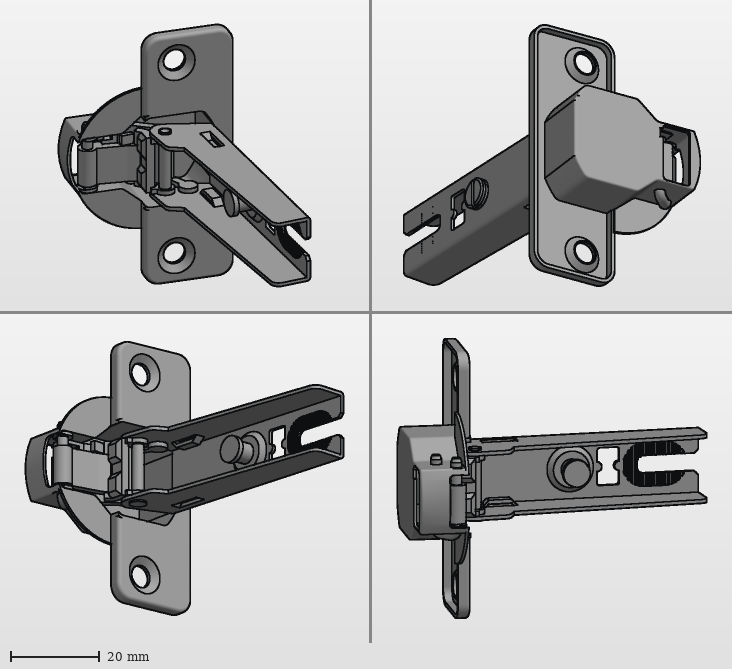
import cadquery as cq
import math

TILT = 7.7

CUP_RADIUS = 17.4
CUP_DEPTH = 11.15
CUP_WALL = 0.7
CUP_TOP = 15.9
CUP_HALF_HEIGHT = 11.8
NECK_HALF_HEIGHT = 7.5
SHOULDER_START = -0.85
SHOULDER_END = -6.0
SHOULDER_RADIUS = 2.0
SIDE_CORNER_RADIUS = 2.0
END_CORNER_RADIUS = 0.6
CUP_EDGE = 0.5
LIP_THICKNESS = 0.7
LIP_TOP = -0.9
NOTCH_HALF_HEIGHT = 6.1
NOTCH_START = -4.4
NOTCH_CORNER = 1.0
NOTCH_REACH = 3.0

WINDOW_NEAR = -7.4
WINDOW_FAR = -14.5
WINDOW_HALF_HEIGHT = 7.0
WINDOW_CORNER = 1.0
WINDOW_SIDE_SLOT = (0.8, 2.2)
WINDOW_SIDE_SLOT_Z = 4.8

FLANGE_LENGTH = 61.5
FLANGE_TOP = 19.9
FLANGE_BOTTOM = -1.3
FLANGE_DEPTH = 2.85
FLANGE_SHEET = 0.9
FLANGE_CORNER = 3.7
SCREW_HOLE_SPACING = 48.0
SCREW_HOLE_Y = 6.2
SCREW_HOLE_RADIUS = 2.6
SCREW_CONE_RADIUS = 4.4
SCREW_CONE_TIP = 2.9
SCREW_CONE_HEIGHT = 1.4

STAPLE_INNER = (-6.4, -9.3)
STAPLE_OUTER = (-2.4, -13.3)
STAPLE_RADIUS = 1.25
STAPLE_TIP = 9.5
STAPLE_TIP_BEVEL = (0.9, 0.4)
STAPLE_BASE = -8.4
STAPLE_BEND = 1.6
STAPLE_COLLAR_RADIUS = 2.3
STAPLE_COLLAR_INNER = 5.95

ARM_END = 60.27
ARM_HALF_HEIGHT = 7.9
ARM_SHEET = 0.9
ARM_BEND = 0.9
BACK_START = (5.3, 14.35)
BACK_SLOPE = 3.0
SIDE_EDGE = 2.43
SIDE_END_RADIUS = 2.0
HEEL_EDGE = -0.9
HEEL_STEP = (12.3, 14.2)
HEEL_RADIUS = 2.0
NOSE_CENTRE = (4.4, 3.1)

SLOT_HALF = 2.05
SLOT_START = 46.0
SLOT_CORNER = 1.7
SLOT_FLARE = 0.9
SERRATION_START = 42.7
SERRATION_END = 57.6
SERRATION_HALF = 5.05
SERRATION_DEPTH = 0.6
SERRATION_PITCH = 0.85
SERRATION_GROOVE = 0.45
KEYHOLE_START = 36.75
KEYHOLE_END = 41.9
KEYHOLE_HALF = 4.35
KEYHOLE_CORNER = 0.6
KEYHOLE_LUG_RADIUS = 1.1
BRIDGE_START = 8.9
BRIDGE_END = 17.1
BRIDGE_TOP = 11.3
BRIDGE_BOTTOM = 8.9
BRIDGE_RISE = 1.5
BRIDGE_RAMP = 1.5

SCREW_X = 30.5
COLLAR_RADIUS = 5.4
COLLAR_TOP_RADIUS = 4.2
COLLAR_HEIGHT = 1.2
SCREW_STEM = 2.4
SCREW_DISC_RADIUS = 3.1
SCREW_DISC_THICKNESS = 1.2
SCREW_REACH = 7.2
SCREW_HEAD = 2.1
SCREW_THREAD = 3.55
SCREW_THREAD_ROOT = 3.0
SCREW_THREADS = 3
SCREW_SLOT = (0.8, 1.0)

PIN = (4.9, 2.25)
PIN_RADIUS = 1.4
PIN_TIP = 8.3
PIN_HEAD_RADIUS = 2.0
PIN_RECESS_RADIUS = 1.15
PIN_RECESS_TIP = 0.3
PIN_RECESS_DEPTH = 1.0

LINK_SHEET = 2.0
LINK_HALF_HEIGHT = 6.8
EAR_THICKNESS = 1.15
EAR_RADIUS = 2.2
KNUCKLE_RADIUS = 2.2
KNUCKLE_TOP = 3.5
KNUCKLE_BOTTOM = -5.4
PAD_Z = 4.0
PAD_HALF = 1.6
PAD_SLOPE = 1.2
PAD_HEIGHT = 0.8
KNUCKLE_FLAT_BELOW = 0.3
KNUCKLE_FLAT_ABOVE = 3.8
FOOT_FRONT = 3.1
FOOT_BACK = 1.6
FOOT_BELOW = 1.55
FOOT_ABOVE = 4.0
FOOT_BEVEL = 0.85
FOOT_OPENING_ABOVE = 2.7
FOOT_OPENING_Z = (3.5, 5.9)
STEM = [(-1.9, -4.0), (-0.5, -0.8)]
CROSSPIECE = [(-1.6, -1.9), (0.1, -0.5), (3.9, -0.9)]
INNER_BEND = (-4.5, -1.0)
INNER_ROOT = (1.5, 5.8)
INNER_PIVOT = (6.2, 7.4)

LEAF_CORNER = (-2.1, -5.8, 3.8)
LEAF_SIZE = (1.2, 3.0, 2.4)


def turned(body):
    """Turn a body from the upright cup frame to its place."""
    return body.rotate((0, 0, 0), (0, 0, 1), -TILT)


def turned_point(point):
    angle = math.radians(-TILT)
    x, y = point
    return (
        x * math.cos(angle) - y * math.sin(angle),
        x * math.sin(angle) + y * math.cos(angle),
    )


def box(x0, x1, y0, y1, z0, z1):
    return cq.Workplane("XY").box(x1 - x0, y1 - y0, z1 - z0, centered=False).translate((x0, y0, z0))


def disc(centre, radius, z0, z1):
    return cq.Workplane("XY").workplane(offset=z0).center(*centre).circle(radius).extrude(z1 - z0)


def make_staple():
    inner_x, inner_y = STAPLE_INNER
    outer_x, outer_y = STAPLE_OUTER
    span = math.hypot(outer_x - inner_x, outer_y - inner_y)
    path = (
        cq.Workplane("XZ")
        .moveTo(0, STAPLE_TIP)
        .lineTo(0, STAPLE_BASE + STAPLE_BEND)
        .radiusArc((STAPLE_BEND, STAPLE_BASE), -STAPLE_BEND)
        .lineTo(span - STAPLE_BEND, STAPLE_BASE)
        .radiusArc((span, STAPLE_BASE + STAPLE_BEND), -STAPLE_BEND)
        .lineTo(span, STAPLE_TIP)
    )
    wire = cq.Workplane("XY").workplane(offset=STAPLE_TIP).circle(STAPLE_RADIUS).sweep(path)
    wire = wire.faces(">Z").chamfer(*STAPLE_TIP_BEVEL)
    heading = math.degrees(math.atan2(outer_y - inner_y, outer_x - inner_x))
    wire = wire.rotate((0, 0, 0), (0, 0, 1), heading)
    return turned(wire.translate((inner_x, inner_y, 0)))


def cup_prism(inset, start, end):
    """The cup's outline, moved inwards by inset, between two depths along X."""
    upper = [
        (CUP_TOP, CUP_HALF_HEIGHT),
        (SHOULDER_START, CUP_HALF_HEIGHT),
        (SHOULDER_END, NECK_HALF_HEIGHT),
        (-CUP_RADIUS - 1, NECK_HALF_HEIGHT),
    ]
    lower = [(y, -z) for y, z in reversed(upper)]
    sides = cq.Workplane("YZ").workplane(offset=start).polyline(upper + lower).close()
    if inset:
        sides = sides.offset2D(-inset, "intersection")
    prism = sides.extrude(end - start)
    for side in (1, -1):
        for y in (SHOULDER_START, SHOULDER_END):
            z = CUP_HALF_HEIGHT if y == SHOULDER_START else NECK_HALF_HEIGHT
            corner = cq.selectors.NearestToPointSelector(((start + end) / 2, y, side * (z - inset)))
            prism = prism.edges("|X").edges(corner).fillet(SHOULDER_RADIUS)
    round_side = cq.Workplane("YZ").workplane(offset=start).circle(CUP_RADIUS - inset).extrude(end - start)
    prism = prism.intersect(round_side)
    middle = (start + end) / 2
    radius = CUP_RADIUS - inset
    rounded_corners = [
        (CUP_HALF_HEIGHT - inset, 1, SIDE_CORNER_RADIUS),
        (NECK_HALF_HEIGHT - inset, -1, END_CORNER_RADIUS),
    ]
    for z, direction, corner_radius in rounded_corners:
        y = direction * math.sqrt(radius**2 - z**2)
        for side in (1, -1):
            corner = cq.selectors.NearestToPointSelector((middle, y, side * z))
            prism = prism.edges("|X").edges(corner).fillet(corner_radius)
    return prism


def make_flange():
    middle = (FLANGE_TOP + FLANGE_BOTTOM) / 2
    width = FLANGE_TOP - FLANGE_BOTTOM
    flange = (
        cq.Workplane("YZ")
        .center(middle, 0)
        .rect(width, FLANGE_LENGTH)
        .extrude(FLANGE_DEPTH)
        .edges("|X")
        .fillet(FLANGE_CORNER)
        .faces(">X")
        .edges()
        .fillet(FLANGE_SHEET)
    )
    tray = (
        cq.Workplane("YZ")
        .center(middle, 0)
        .rect(width - 2 * FLANGE_SHEET, FLANGE_LENGTH - 2 * FLANGE_SHEET)
        .extrude(FLANGE_DEPTH - FLANGE_SHEET)
        .edges("|X")
        .fillet(FLANGE_CORNER - FLANGE_SHEET)
    )
    return flange.cut(tray)


def screw_cone(z, start, base_radius, tip_radius):
    """Cone that narrows from the flange towards the cup floor."""
    return (
        cq.Workplane("YZ")
        .workplane(offset=start)
        .center(SCREW_HOLE_Y, z)
        .circle(base_radius)
        .workplane(offset=-SCREW_CONE_HEIGHT)
        .circle(tip_radius)
        .loft()
    )


def with_screw_seat(cup, z):
    """Press a countersunk screw seat into the flange and pierce it."""
    seat = screw_cone(z, FLANGE_DEPTH - FLANGE_SHEET, SCREW_CONE_RADIUS, SCREW_CONE_TIP)
    recess = screw_cone(z, FLANGE_DEPTH, SCREW_CONE_RADIUS, SCREW_HOLE_RADIUS)
    hole = cq.Workplane("YZ").center(SCREW_HOLE_Y, z).circle(SCREW_HOLE_RADIUS).extrude(FLANGE_DEPTH)
    return cup.union(seat).cut(recess).cut(hole)


def make_cup(staple):
    body = cup_prism(0, -CUP_DEPTH, 0).faces("<X").edges().fillet(CUP_EDGE)
    collar = cup_prism(0, 0, FLANGE_DEPTH).intersect(
        box(0, FLANGE_DEPTH, FLANGE_BOTTOM, FLANGE_TOP, -CUP_RADIUS, CUP_RADIUS)
    )
    lip = cq.Workplane("YZ").workplane(offset=-LIP_THICKNESS).circle(CUP_RADIUS).extrude(LIP_THICKNESS)
    lip = lip.intersect(box(-LIP_THICKNESS, 0, -CUP_RADIUS, LIP_TOP, -CUP_RADIUS, CUP_RADIUS))
    cup = body.union(lip).union(make_flange()).union(collar)
    cup = cup.cut(cup_prism(CUP_WALL, -CUP_DEPTH + CUP_WALL, FLANGE_DEPTH))

    end_notch = (
        box(
            NOTCH_START,
            FLANGE_DEPTH,
            -CUP_RADIUS - NOTCH_REACH,
            -CUP_RADIUS + NOTCH_REACH,
            -NOTCH_HALF_HEIGHT,
            NOTCH_HALF_HEIGHT,
        )
        .edges("|Y and <X")
        .fillet(NOTCH_CORNER)
    )
    floor_outside = -CUP_DEPTH - 1
    floor_inside = -CUP_DEPTH + CUP_WALL
    window = (
        box(floor_outside, floor_inside, WINDOW_FAR, WINDOW_NEAR, -WINDOW_HALF_HEIGHT, WINDOW_HALF_HEIGHT)
        .edges("|X")
        .fillet(WINDOW_CORNER)
    )
    slot_width, slot_height = WINDOW_SIDE_SLOT
    side_slot = box(
        floor_outside,
        floor_inside,
        WINDOW_NEAR - slot_width,
        WINDOW_NEAR + slot_width,
        WINDOW_SIDE_SLOT_Z - slot_height / 2,
        WINDOW_SIDE_SLOT_Z + slot_height / 2,
    )
    for z0, z1 in ((STAPLE_COLLAR_INNER, NECK_HALF_HEIGHT), (-NECK_HALF_HEIGHT, -STAPLE_COLLAR_INNER)):
        cup = cup.union(disc(STAPLE_OUTER, STAPLE_COLLAR_RADIUS, z0, z1))
    cup = cup.cut(end_notch).cut(window).cut(side_slot)
    for z in (-SCREW_HOLE_SPACING / 2, SCREW_HOLE_SPACING / 2):
        cup = with_screw_seat(cup, z)
    return turned(cup).cut(staple)


def back_y(x):
    """Height of the arm's sloping back."""
    start_x, start_y = BACK_START
    return start_y - (x - start_x) * math.tan(math.radians(BACK_SLOPE))


def on_back(body):
    """Move a body modelled about the Y axis onto the back at the adjusting screw."""
    tilted = body.rotate((0, 0, 0), (0, 0, 1), -BACK_SLOPE)
    return tilted.translate((SCREW_X, back_y(SCREW_X), 0))


def make_channel():
    nose_x, nose_y = NOSE_CENTRE
    nose_radius = nose_y - HEEL_EDGE
    heel_end, side_start = HEEL_STEP
    solid = (
        cq.Workplane("XY")
        .workplane(offset=-ARM_HALF_HEIGHT)
        .moveTo(*BACK_START)
        .lineTo(ARM_END, back_y(ARM_END))
        .lineTo(ARM_END, SIDE_EDGE)
        .lineTo(side_start, SIDE_EDGE)
        .lineTo(heel_end, HEEL_EDGE)
        .lineTo(nose_x, HEEL_EDGE)
        .radiusArc((nose_x - nose_radius, nose_y), nose_radius)
        .close()
        .extrude(2 * ARM_HALF_HEIGHT)
    )
    solid = solid.edges(cq.selectors.NearestToPointSelector((ARM_END, SIDE_EDGE, 0))).fillet(SIDE_END_RADIUS)
    heel_corner = cq.selectors.NearestToPointSelector((heel_end, HEEL_EDGE, 0))
    solid = solid.edges(heel_corner).fillet(HEEL_RADIUS)
    back_middle = (BACK_START[0] + ARM_END) / 2
    for z in (-ARM_HALF_HEIGHT, ARM_HALF_HEIGHT):
        bend = cq.selectors.NearestToPointSelector((back_middle, back_y(back_middle), z))
        solid = solid.edges(bend).fillet(ARM_BEND)
    inside = ARM_HALF_HEIGHT - ARM_SHEET
    drop = ARM_SHEET / math.cos(math.radians(BACK_SLOPE))
    hollow = (
        cq.Workplane("XY")
        .workplane(offset=-inside)
        .moveTo(-ARM_END, back_y(-ARM_END) - drop)
        .lineTo(2 * ARM_END, back_y(2 * ARM_END) - drop)
        .lineTo(2 * ARM_END, -ARM_END)
        .lineTo(-ARM_END, -ARM_END)
        .close()
        .extrude(2 * inside)
    )
    return solid.cut(hollow)


def back_opening(outline):
    """Extrude an outline drawn in X and Z right through the back."""
    return outline.extrude(-2 * BACK_START[1])


def end_slot():
    cut_end = ARM_END + SLOT_FLARE
    slot = cq.Workplane("XZ").center((SLOT_START + cut_end) / 2, 0).rect(cut_end - SLOT_START, 2 * SLOT_HALF)
    slot = back_opening(slot).edges("|Y and <X").fillet(SLOT_CORNER)
    flare = cq.Workplane("XZ").polyline(
        [
            (ARM_END - SLOT_FLARE, SLOT_HALF),
            (cut_end, SLOT_HALF + 2 * SLOT_FLARE),
            (cut_end, -SLOT_HALF - 2 * SLOT_FLARE),
            (ARM_END - SLOT_FLARE, -SLOT_HALF),
        ]
    ).close()
    return slot.union(back_opening(flare))


def keyhole():
    length = KEYHOLE_END - KEYHOLE_START
    hole = cq.Workplane("XZ").center(KEYHOLE_START + length / 2, 0).rect(length, 2 * KEYHOLE_HALF)
    hole = back_opening(hole).edges("|Y").fillet(KEYHOLE_CORNER)
    for x in (KEYHOLE_START, KEYHOLE_END):
        hole = hole.cut(back_opening(cq.Workplane("XZ").center(x, 0).circle(KEYHOLE_LUG_RADIUS)))
    return hole


def serrations():
    """Grooves across the inner face of the back, bounded by a round-ended outline."""
    length = SERRATION_END - SERRATION_START
    outline = cq.Workplane("XZ").center(SERRATION_START + length / 2, 0).slot2D(length, 2 * SERRATION_HALF)
    bound = back_opening(outline)
    count = int(length / SERRATION_PITCH)
    grooves = cq.Workplane("XY")
    for index in range(count):
        x = SERRATION_START + (index + 0.5) * SERRATION_PITCH
        face = back_y(x) - ARM_SHEET
        grooves = grooves.add(
            box(
                x - SERRATION_GROOVE / 2,
                x + SERRATION_GROOVE / 2,
                face - ARM_SHEET,
                face + SERRATION_DEPTH,
                -SERRATION_HALF,
                SERRATION_HALF,
            )
        )
    return grooves.combine().intersect(bound)


def along_back(body):
    """Turn a bridge or its slot about their middle, parallel to the back."""
    middle = ((BRIDGE_START + BRIDGE_END) / 2, (BRIDGE_BOTTOM + BRIDGE_TOP) / 2)
    return body.rotate((*middle, 0), (*middle, 1), -BACK_SLOPE)


def bridge_slot():
    reach = ARM_HALF_HEIGHT + 1
    return along_back(box(BRIDGE_START, BRIDGE_END, BRIDGE_BOTTOM, BRIDGE_TOP, -reach, reach))


def bridge(side):
    """Strip of the side wall pressed inwards between two cuts."""
    outer = ARM_HALF_HEIGHT
    inner = outer - ARM_SHEET
    ramp_in = BRIDGE_START + BRIDGE_RAMP
    ramp_out = BRIDGE_END - BRIDGE_RAMP
    outline = [
        (BRIDGE_START, outer),
        (ramp_in, outer - BRIDGE_RISE),
        (ramp_out, outer - BRIDGE_RISE),
        (BRIDGE_END, outer),
        (BRIDGE_END, inner),
        (ramp_out, inner - BRIDGE_RISE),
        (ramp_in, inner - BRIDGE_RISE),
        (BRIDGE_START, inner),
    ]
    points = [(x, side * z) for x, z in outline]
    profile = cq.Workplane("XZ").workplane(offset=-BRIDGE_TOP).polyline(points).close()
    return along_back(profile.extrude(BRIDGE_TOP - BRIDGE_BOTTOM))


def make_arm():
    collar = (
        cq.Workplane("XZ")
        .workplane(offset=ARM_SHEET)
        .circle(COLLAR_RADIUS)
        .workplane(offset=COLLAR_HEIGHT)
        .circle(COLLAR_TOP_RADIUS)
        .loft()
    )
    stem_hole = cq.Workplane("XZ").circle(SCREW_STEM).extrude(SCREW_REACH, both=True)
    arm = make_channel().cut(end_slot()).cut(keyhole()).cut(serrations()).cut(bridge_slot())
    arm = arm.union(bridge(1)).union(bridge(-1))
    arm = arm.union(on_back(collar)).cut(on_back(stem_hole))
    return arm.cut(disc(PIN, PIN_RADIUS, -ARM_HALF_HEIGHT, ARM_HALF_HEIGHT))


def make_screw():
    stem = cq.Workplane("XZ").circle(SCREW_STEM).extrude(SCREW_REACH)
    face = (
        cq.Workplane("XZ")
        .workplane(offset=SCREW_REACH - SCREW_DISC_THICKNESS)
        .circle(SCREW_DISC_RADIUS)
        .extrude(SCREW_DISC_THICKNESS)
    )
    pitch = SCREW_HEAD / SCREW_THREADS
    head = cq.Workplane("XY").moveTo(0, 0).lineTo(SCREW_THREAD_ROOT, 0)
    for index in range(SCREW_THREADS):
        head = head.lineTo(SCREW_THREAD, (index + 0.5) * pitch)
        head = head.lineTo(SCREW_THREAD_ROOT, (index + 1) * pitch)
    head = head.lineTo(0, SCREW_HEAD).close().revolve(360, (0, 0, 0), (0, 1, 0))
    width, depth = SCREW_SLOT
    slot = box(-width / 2, width / 2, SCREW_HEAD - depth, SCREW_HEAD, -SCREW_THREAD, SCREW_THREAD)
    return on_back(stem.union(face).union(head).cut(slot))


def make_arm_pin():
    pin = disc(PIN, PIN_RADIUS, -ARM_HALF_HEIGHT, PIN_TIP)
    pin = pin.union(disc(PIN, PIN_HEAD_RADIUS, -PIN_TIP, -ARM_HALF_HEIGHT))
    recess = cq.Workplane("XY").workplane(offset=PIN_TIP).center(*PIN).circle(PIN_RECESS_RADIUS)
    return pin.cut(recess.workplane(offset=-PIN_RECESS_DEPTH).circle(PIN_RECESS_TIP).loft())


def strip(points, thickness, z0, z1):
    """Bent strip of constant thickness along a line of points, rounded at its bends."""
    bar = None
    for start, end in zip(points, points[1:]):
        length = math.dist(start, end)
        heading = math.degrees(math.atan2(end[1] - start[1], end[0] - start[0]))
        leg = box(0, length, -thickness / 2, thickness / 2, z0, z1).rotate((0, 0, 0), (0, 0, 1), heading)
        leg = leg.translate((*start, 0))
        bar = leg if bar is None else bar.union(leg).union(disc(start, thickness / 2, z0, z1))
    return bar


def ears(centre, root):
    """Two ears at the sides of a link, each a rounded bar from root to centre."""
    inner = LINK_HALF_HEIGHT - EAR_THICKNESS
    pair = None
    for z in (inner, -LINK_HALF_HEIGHT):
        bar = strip([root, centre], LINK_SHEET, z, z + EAR_THICKNESS)
        bar = bar.union(disc(centre, EAR_RADIUS, z, z + EAR_THICKNESS))
        pair = bar if pair is None else pair.union(bar)
    return pair


def pads():
    """Two raised pads with sloping sides on the outer link's crosspiece."""
    start, end = CROSSPIECE[1:]
    length = math.dist(start, end)
    heading = math.degrees(math.atan2(end[1] - start[1], end[0] - start[0]))
    pair = None
    for z in (-PAD_Z, PAD_Z):
        pad = (
            cq.Workplane("XZ")
            .workplane(offset=LINK_SHEET / 2)
            .center(length / 2, z)
            .rect(length, 2 * (PAD_HALF + PAD_SLOPE))
            .workplane(offset=PAD_HEIGHT)
            .center(-PAD_SLOPE / 2, 0)
            .rect(length - PAD_SLOPE, 2 * PAD_HALF)
            .loft()
        )
        pair = pad if pair is None else pair.union(pad)
    pair = pair.rotate((0, 0, 0), (0, 0, 1), heading)
    return pair.translate((*start, 0))


def make_outer_link(staple, pin):
    x, y = STAPLE_OUTER
    knuckle = disc(STAPLE_OUTER, KNUCKLE_RADIUS, KNUCKLE_BOTTOM, KNUCKLE_TOP)
    flat = box(
        x - KNUCKLE_RADIUS,
        x,
        y - KNUCKLE_FLAT_BELOW,
        y + KNUCKLE_FLAT_ABOVE,
        KNUCKLE_BOTTOM,
        KNUCKLE_TOP,
    )
    stem = strip([turned_point(STAPLE_OUTER), *STEM], LINK_SHEET, KNUCKLE_BOTTOM, KNUCKLE_TOP)
    link = turned(knuckle.union(flat)).union(stem)
    link = link.union(strip(CROSSPIECE, LINK_SHEET, -LINK_HALF_HEIGHT, LINK_HALF_HEIGHT))
    link = link.union(pads()).union(ears(PIN, CROSSPIECE[-1]))
    return link.cut(staple).cut(pin)


def make_inner_link(staple):
    x, y = STAPLE_INNER
    left = x - FOOT_FRONT
    right = x + FOOT_BACK
    below = y - FOOT_BELOW
    above = y + FOOT_ABOVE
    foot = box(left, right, below, above, -LINK_HALF_HEIGHT, LINK_HALF_HEIGHT)
    foot = foot.edges("|Y and <X").chamfer(FOOT_BEVEL)
    opening = box(left, right, below, y + FOOT_OPENING_ABOVE, *FOOT_OPENING_Z)
    link = turned(foot.cut(opening))
    arch = [turned_point((x, above - LINK_SHEET / 2)), INNER_BEND, INNER_ROOT]
    link = link.union(strip(arch, LINK_SHEET, -LINK_HALF_HEIGHT, LINK_HALF_HEIGHT))
    link = link.union(ears(INNER_PIVOT, INNER_ROOT))
    return link.cut(staple)


def make_leaf():
    x, y, z = LEAF_CORNER
    width, length, height = LEAF_SIZE
    return box(x, x + width, y, y + length, z, z + height)


staple = make_staple()
cup = make_cup(staple)
arm = make_arm()
screw = make_screw()
arm_pin = make_arm_pin()
outer_link = make_outer_link(staple, arm_pin)
inner_link = make_inner_link(staple)
leaf = make_leaf()

bodies = [cup, staple, arm, screw, arm_pin, outer_link, inner_link, leaf]
result = cq.Compound.makeCompound([body.solids().val() for body in bodies])